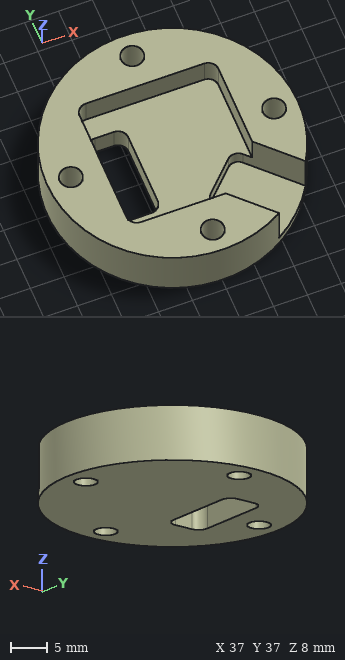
import cadquery as cq

disc_diameter = 37.0
disc_height = 8.0

hole_diameter = 3.3
bolt_circle_diameter = 30.0
hole_count = 4

pocket_side = 20.5
pocket_depth = 4.25
corner_radius = 1.5

window_width = 5.9
window_length = 14.0

slot_width = 9.1
slot_depth = 6.5
slot_start = 7.03
slot_angle = -45.0


def make_disc():
    return cq.Workplane("XY").circle(disc_diameter / 2).extrude(disc_height)


def bolt_holes():
    return (
        cq.Workplane("XY")
        .polarArray(bolt_circle_diameter / 2, 0, 360, hole_count)
        .circle(hole_diameter / 2)
        .extrude(disc_height)
    )


def rounded_cutter(length, width, center_x, depth):
    """Block with rounded vertical edges, reaching down from the top face."""
    return (
        cq.Workplane("XY", origin=(center_x, 0, disc_height - depth))
        .rect(length, width)
        .extrude(depth)
        .edges("|Z")
        .fillet(corner_radius)
    )


pocket = rounded_cutter(pocket_side, pocket_side, 0, pocket_depth)

window_center = (window_width - pocket_side) / 2
window = rounded_cutter(window_width, window_length, window_center, disc_height)

slot_length = disc_diameter / 2
slot_center = slot_start + slot_length / 2
slot = rounded_cutter(slot_length, slot_width, slot_center, slot_depth).rotate(
    (0, 0, 0), (0, 0, 1), slot_angle
)

result = make_disc().cut(bolt_holes()).cut(pocket).cut(window).cut(slot)